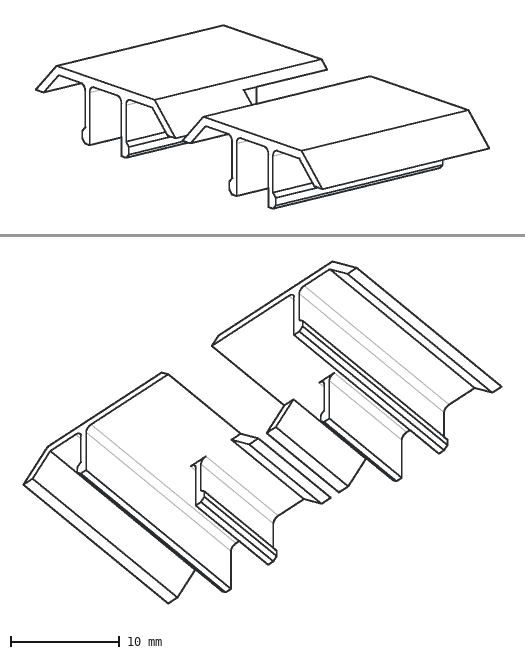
import cadquery as cq

TOTAL_LENGTH = 41.0
CLIP_WIDTH = 20.0
CLIP_LENGTH = 20.0
CLIP_HEIGHT = 6.5

ROOF_THICKNESS = 0.8
WING_DROP = 3.0
WING_TIP_WIDTH = 1.15

LEG_GAP = 4.55
LEG_THICKNESS = 0.65
ROOT_RADIUS = 0.6
HOOK_REACH = 0.4
HOOK_HEIGHT = 1.55

NOTCH_DEPTH = CLIP_WIDTH / 2
NOTCH_LENGTH = CLIP_LENGTH / 2

HALF_WIDTH = CLIP_WIDTH / 2
WING_TIP_Z = CLIP_HEIGHT - WING_DROP
ROOF_UNDERSIDE_Z = CLIP_HEIGHT - ROOF_THICKNESS
LEG_INNER_X = LEG_GAP / 2
LEG_OUTER_X = LEG_INNER_X + LEG_THICKNESS
CLIP_OFFSET = (TOTAL_LENGTH - CLIP_WIDTH) / 2


def make_roof():
    outer_bend_x = HALF_WIDTH - WING_DROP
    inner_tip_x = HALF_WIDTH - WING_TIP_WIDTH
    inner_bend_x = inner_tip_x - (ROOF_UNDERSIDE_Z - WING_TIP_Z)
    right_side = [
        (outer_bend_x, CLIP_HEIGHT),
        (HALF_WIDTH, WING_TIP_Z),
        (inner_tip_x, WING_TIP_Z),
        (inner_bend_x, ROOF_UNDERSIDE_Z),
    ]
    left_side = [(-x, z) for x, z in reversed(right_side)]
    return (
        cq.Workplane("XZ")
        .polyline(right_side + left_side)
        .close()
        .extrude(CLIP_LENGTH / 2, both=True)
    )


def make_right_leg():
    """Leg with filleted roots and a chamfered hook on its outer face."""
    root_z = ROOF_UNDERSIDE_Z - ROOT_RADIUS
    hook_x = LEG_OUTER_X + HOOK_REACH
    return (
        cq.Workplane("XZ")
        .moveTo(LEG_INNER_X, 0)
        .lineTo(LEG_OUTER_X, 0)
        .lineTo(hook_x, HOOK_REACH)
        .lineTo(hook_x, HOOK_HEIGHT - HOOK_REACH)
        .lineTo(LEG_OUTER_X, HOOK_HEIGHT)
        .lineTo(LEG_OUTER_X, root_z)
        .radiusArc((LEG_OUTER_X + ROOT_RADIUS, ROOF_UNDERSIDE_Z), ROOT_RADIUS)
        .lineTo(LEG_INNER_X - ROOT_RADIUS, ROOF_UNDERSIDE_Z)
        .radiusArc((LEG_INNER_X, root_z), ROOT_RADIUS)
        .close()
        .extrude(CLIP_LENGTH / 2, both=True)
    )


def make_notch(side):
    """Cutter below roof level, open to the rear and to the wing tip on the given X side."""
    return (
        cq.Workplane("XY")
        .box(NOTCH_DEPTH, NOTCH_LENGTH, ROOF_UNDERSIDE_Z, centered=(True, False, False))
        .translate((side * (HALF_WIDTH - NOTCH_DEPTH / 2), CLIP_LENGTH / 2 - NOTCH_LENGTH, 0))
    )


def make_clip(side):
    """Clip on the given X side of the pair (-1 or 1), notched towards the middle."""
    right_leg = make_right_leg()
    clip = make_roof().union(right_leg).union(right_leg.mirror("YZ"))
    clip = clip.cut(make_notch(-side))
    return clip.translate((side * CLIP_OFFSET, 0, 0))


clips = [make_clip(side) for side in (-1, 1)]
result = cq.Compound.makeCompound([clip.val() for clip in clips])